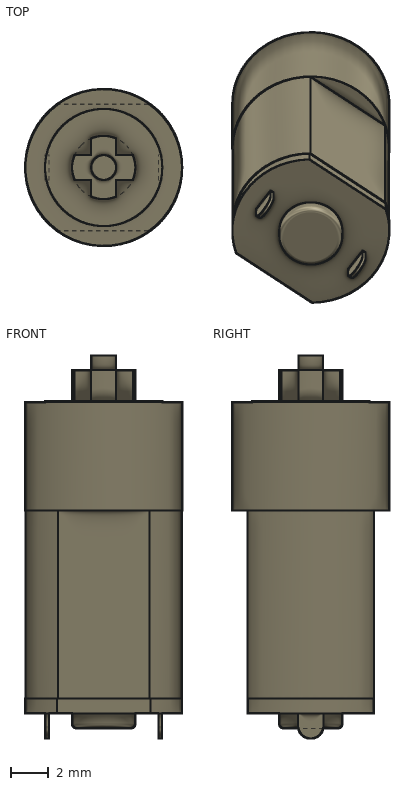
import cadquery as cq

total_height = 20.4
terminal_length = 1.35
cap_height = 0.8
body_height = 10.0
gearbox_height = 5.77
plate_height = 0.06
shaft_tip_height = 0.8

gearbox_diameter = 8.35
body_diameter = 8.32
cap_width_across_flats = 6.7
body_width_across_flats = 6.75
plate_diameter = 6.24

shaft_diameter = 1.33
cross_diameter = 3.36
cross_arm_width = shaft_diameter

boss_diameter = 3.36
boss_height = 0.8
boss_edge_radius = 0.25

terminal_width = 1.35
terminal_thickness = 0.2
terminal_spacing = 6.02

body_bottom = cap_height
gearbox_bottom = body_bottom + body_height
plate_bottom = gearbox_bottom + gearbox_height
cross_bottom = plate_bottom + plate_height
shaft_top = total_height - terminal_length
cross_top = shaft_top - shaft_tip_height


def cylinder(diameter, bottom, top):
    return cq.Workplane("XY").workplane(offset=bottom).circle(diameter / 2).extrude(top - bottom)


def bar(length_x, length_y, bottom, top):
    """Rectangular bar centred on the motor axis."""
    return cq.Workplane("XY").workplane(offset=bottom).rect(length_x, length_y).extrude(top - bottom)


def flatted_cylinder(diameter, width_across_flats, bottom, top):
    """Cylinder with two parallel flats facing -Y and +Y."""
    flats = bar(diameter * 2, width_across_flats, bottom, top)
    return cylinder(diameter, bottom, top).intersect(flats)


def output_cross():
    """Four-armed coupling with rounded arm ends."""
    arms = bar(cross_diameter, cross_arm_width, cross_bottom, cross_top)
    arms = arms.union(bar(cross_arm_width, cross_diameter, cross_bottom, cross_top))
    return arms.intersect(cylinder(cross_diameter, cross_bottom, cross_top))


def rear_boss():
    """Bearing boss below the end cap, rounded along its lower edge."""
    return cylinder(boss_diameter, -boss_height, 0).faces("<Z").edges().fillet(boss_edge_radius)


def terminal(center_x):
    """Thin solder tab with a semicircular lower end."""
    half_width = terminal_width / 2
    straight_end = half_width - terminal_length
    return (
        cq.Workplane("YZ")
        .workplane(offset=center_x - terminal_thickness / 2)
        .moveTo(-half_width, 0)
        .lineTo(-half_width, straight_end)
        .threePointArc((0, -terminal_length), (half_width, straight_end))
        .lineTo(half_width, 0)
        .close()
        .extrude(terminal_thickness)
    )


result = flatted_cylinder(gearbox_diameter, cap_width_across_flats, 0, body_bottom)
result = result.union(flatted_cylinder(body_diameter, body_width_across_flats, body_bottom, gearbox_bottom))
result = result.union(cylinder(gearbox_diameter, gearbox_bottom, plate_bottom))
result = result.union(cylinder(plate_diameter, plate_bottom, cross_bottom))

result = result.union(output_cross())
result = result.union(cylinder(shaft_diameter, cross_bottom, shaft_top))

result = result.union(rear_boss())
for side in (-1, 1):
    result = result.union(terminal(side * terminal_spacing / 2))